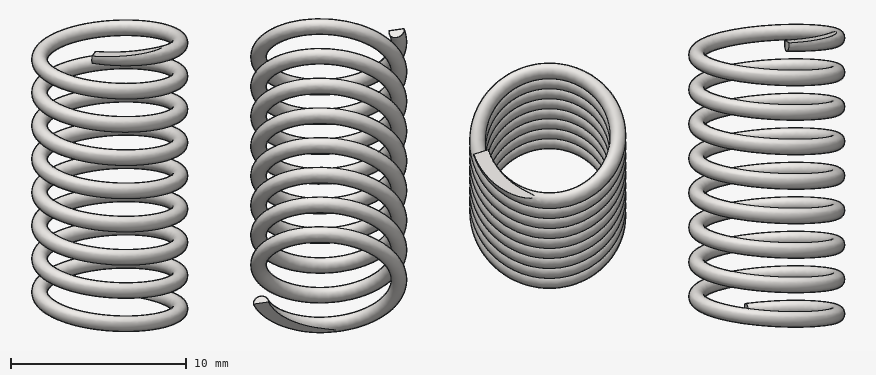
import cadquery as cq
import math

wire_diameter = 0.9
outer_diameter = 8.9
pitch = 2.0
turns = 8.5
bottom_end_angle = 135.0
top_grind_height = 0.11

mean_radius = (outer_diameter - wire_diameter) / 2
coil_height = pitch * turns
bottom_face_z = 0.0
top_face_z = coil_height + top_grind_height


def coiled_wire():
    """Round wire swept along the full helix, before the ends are ground."""
    path = cq.Wire.makeHelix(pitch, coil_height, mean_radius, lefthand=True)
    climb_per_radian = pitch / (2 * math.pi)
    section_plane = cq.Plane(
        origin=(mean_radius, 0, 0),
        xDir=(1, 0, 0),
        normal=(0, -mean_radius, climb_per_radian),
    )
    wire = cq.Workplane(section_plane).circle(wire_diameter / 2).sweep(path, isFrenet=True)
    return wire.rotate((0, 0, 0), (0, 0, 1), bottom_end_angle)


def ground_envelope():
    """Slab between the two ground end faces, wider than the coil."""
    slab_width = 2 * outer_diameter
    slab_height = top_face_z - bottom_face_z
    return (
        cq.Workplane("XY")
        .workplane(offset=bottom_face_z)
        .rect(slab_width, slab_width)
        .extrude(slab_height)
    )


ground_spring = coiled_wire().intersect(ground_envelope())
result = cq.Workplane(ground_spring.solids().val())